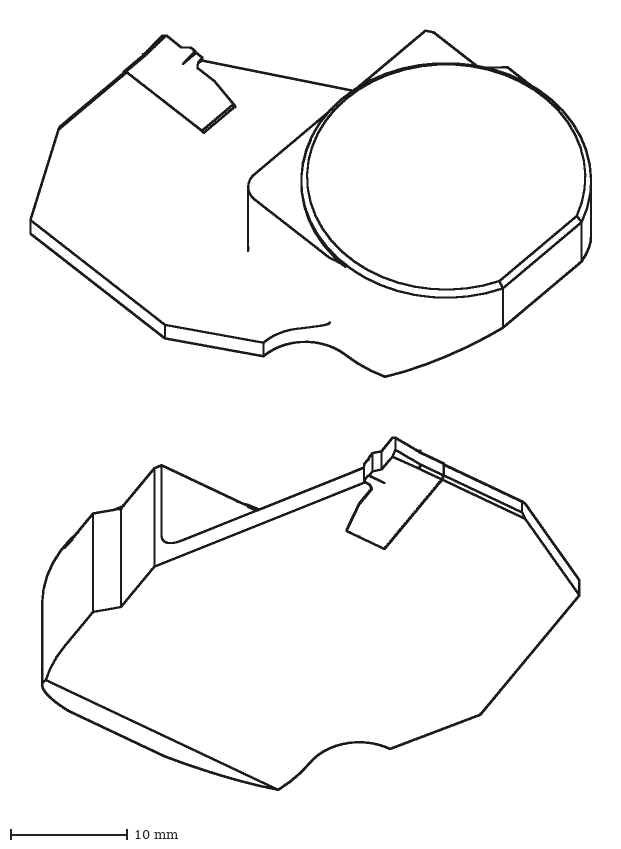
import cadquery as cq
import math


boss_radius = 12.5
boss_top = 13.73
boss_chamfer = 0.5
boss_flat_x = 11.5
block_top = 12.95
block_left_x = -boss_radius
block_front_y = -12.75
block_corner_radius = 1.9
root_fillet = 1.6
slant_start_x = 4.05

plate_thickness = 2.0
plate_left_x = -33.75
plate_front_y = -22.02
left_corner_y = -12.95
front_left_x = -28.55
front_right_x = -12.45
relief_radius = 5.0
back_y = 10.75
back_slope = math.tan(math.radians(30))
step_start_x = -6.45
edge_chamfer = 0.27

insert_bottom = -0.15
insert_top = plate_thickness
insert_end_x = -24.2
insert_front_y = -4.92
insert_left_x = -33.85
tip = (-34.1, 0.2)
tip_heel = (insert_left_x, -2.55)
nose_back_y = 0.75
notch_top = (-29.75, 0.05)
seat_edge = [
    (insert_end_x, insert_front_y),
    (insert_end_x, -1.05),
    (-27.35, -0.35),
    (-29.4, -0.35),
    notch_top,
]
insert_back_edge = [(-29.85, nose_back_y), (-31.3, nose_back_y), (-31.87, tip[1])]
head_rise = 0.205
head_flank_x = -30.6
head_slope_angle = 27.0

slope_start = (-29.65, 0.5)
slope_end_x = slope_start[0] + (back_y - slope_start[1]) / back_slope


def outline(height):
    """Full plan outline of the holder, with the insert seat left open."""
    step_end_x = step_start_x + boss_radius - back_y
    relief_center_y = -boss_radius - relief_radius
    arc_offset = relief_radius * math.sqrt(0.5)
    return (
        cq.Workplane("XY")
        .moveTo(plate_left_x, insert_front_y)
        .lineTo(plate_left_x, left_corner_y)
        .lineTo(front_left_x, plate_front_y)
        .lineTo(front_right_x, plate_front_y)
        .lineTo(-relief_radius, relief_center_y)
        .threePointArc((-arc_offset, relief_center_y + arc_offset), (0, -boss_radius))
        .threePointArc((boss_radius, 0), (0, boss_radius))
        .lineTo(step_end_x, boss_radius)
        .lineTo(step_start_x, back_y)
        .lineTo(slope_end_x, back_y)
        .lineTo(*slope_start)
        .lineTo(*notch_top)
        .polyline(seat_edge[::-1], includeCurrent=False)
        .close()
        .extrude(height)
    )


def shoulder_block():
    """Rounded block with a root fillet, oversized to the right and back."""
    size_x = 2 * boss_radius
    size_y = 2 * boss_radius + relief_radius
    flange = 2 * root_fillet
    block = (
        cq.Workplane("XY")
        .box(size_x, size_y, block_top, centered=False)
        .translate((block_left_x, block_front_y, 0))
        .edges("|Z and <X and <Y")
        .fillet(block_corner_radius)
    )
    base = (
        cq.Workplane("XY")
        .box(size_x + flange, size_y + flange, plate_thickness, centered=False)
        .translate((block_left_x - flange, block_front_y - flange, 0))
    )
    root_edges = cq.selectors.BoxSelector(
        (block_left_x - 0.45, block_front_y - 0.45, plate_thickness - 0.05),
        (boss_radius - 0.45, size_y + block_front_y - 0.45, plate_thickness + 0.05),
    )
    return base.union(block).edges(root_edges).fillet(root_fillet)


def make_holder():
    plate = outline(plate_thickness).faces("<X").edges("|Y").chamfer(edge_chamfer)
    tall = outline(block_top).intersect(shoulder_block())
    boss = (
        cq.Workplane("XY")
        .workplane(offset=plate_thickness)
        .circle(boss_radius)
        .extrude(boss_top - plate_thickness)
    )
    slant_rise = boss_flat_x - slant_start_x
    side_limit = (
        cq.Workplane("XZ")
        .polyline([
            (plate_left_x, 0),
            (slant_start_x, 0),
            (boss_flat_x, slant_rise),
            (boss_flat_x, boss_top),
            (plate_left_x, boss_top),
        ])
        .close()
        .extrude(-plate_front_y, both=True)
    )
    holder = plate.union(tall).union(boss).intersect(side_limit)
    return holder.faces(">Z").edges().chamfer(boss_chamfer)


def insert_outline(bottom, top):
    return (
        cq.Workplane("XY")
        .workplane(offset=bottom)
        .polyline([(insert_left_x, insert_front_y)] + seat_edge + insert_back_edge + [tip, tip_heel])
        .close()
        .extrude(top - bottom)
    )


def left_bevel(start, end, middle_z, half_thickness, side):
    """Wedge that bevels the left edge from start to end; side is 1 above, -1 below."""
    foot = cq.Vector(*start, middle_z)
    run = cq.Vector(*end, middle_z) - foot
    inward = run.normalized().cross(cq.Vector(0, 0, 1))
    low = half_thickness - edge_chamfer
    width = edge_chamfer + 2 * head_rise
    return (
        cq.Workplane(cq.Plane(origin=foot, xDir=inward, normal=run))
        .polyline([
            (0, -side * low),
            (width, -side * (low + width)),
            (-width, -side * (low + width)),
            (-width, -side * low),
        ])
        .close()
        .extrude(run.Length)
    )


def make_insert():
    middle_z = (insert_bottom + insert_top) / 2
    half_thickness = (insert_top - insert_bottom) / 2
    body = insert_outline(insert_bottom, insert_top)
    body = body.faces(">X").edges(">Z").chamfer(edge_chamfer)

    angle = math.radians(head_slope_angle)
    along = cq.Vector(math.cos(angle), math.sin(angle), 0)
    away = cq.Vector(-math.sin(angle), math.cos(angle), 0)
    heel = cq.Vector(*tip_heel, middle_z)
    reach = (cq.Vector(*tip, middle_z) - heel).dot(away)
    span = tip[0] - insert_end_x
    head_plane = cq.Plane(origin=heel + along * span, xDir=away, normal=along)
    head_height = half_thickness + head_rise
    wedge = (
        cq.Workplane(head_plane)
        .polyline([
            (0, -half_thickness),
            (reach, -head_height),
            (reach, head_height),
            (0, half_thickness),
        ])
        .close()
        .extrude(-2 * span)
    )
    flank = (
        cq.Workplane("XZ", origin=(0, 0, middle_z))
        .polyline([
            (tip[0], -head_height),
            (head_flank_x - head_rise, -head_height),
            (head_flank_x, -half_thickness),
            (head_flank_x, half_thickness),
            (head_flank_x - head_rise, head_height),
            (tip[0], head_height),
        ])
        .close()
        .extrude(-insert_front_y, both=True)
    )
    head = insert_outline(middle_z - head_height, middle_z + head_height)
    head = head.intersect(wedge).intersect(flank)
    insert = body.union(head)

    for start, end in [((insert_left_x, insert_front_y), tip_heel), (tip_heel, tip)]:
        for side in (1, -1):
            insert = insert.cut(left_bevel(start, end, middle_z, half_thickness, side))
    return insert


holder = make_holder()
insert = make_insert()
result = cq.Compound.makeCompound([holder.val(), insert.val()])